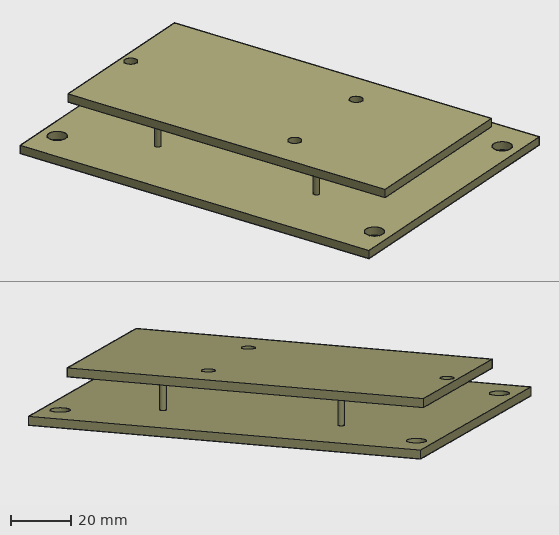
import cadquery as cq

base_length = 139.7
base_width = 101.5
plate_thickness = 3.1
mount_hole_diameter = 6.7

upper_length = 127.0
upper_width = upper_length / 2
total_height = 16.0
upper_bottom = total_height - plate_thickness
post_diameter = 2.2
post_spacing_x = upper_length / 2
post_spacing_y = 50.9

mount_spacing_x = upper_length
mount_spacing_y = 76.1

upper_hole_diameter = 4.6
end_hole_x = -59.7
pair_hole_x = 18.3
pair_hole_y = 18.3
upper_holes = [(end_hole_x, 0), (pair_hole_x, pair_hole_y), (pair_hole_x, -pair_hole_y)]


def make_base():
    return (
        cq.Workplane("XY")
        .rect(base_length, base_width)
        .extrude(plate_thickness)
        .faces(">Z")
        .workplane()
        .rarray(mount_spacing_x, mount_spacing_y, 2, 2)
        .hole(mount_hole_diameter)
    )


def make_upper_plate():
    return (
        cq.Workplane("XY", origin=(0, 0, upper_bottom))
        .rect(upper_length, upper_width)
        .extrude(plate_thickness)
        .faces(">Z")
        .workplane()
        .pushPoints(upper_holes)
        .hole(upper_hole_diameter)
    )


def make_posts():
    return (
        cq.Workplane("XY", origin=(0, 0, plate_thickness))
        .rarray(post_spacing_x, post_spacing_y, 2, 2)
        .circle(post_diameter / 2)
        .extrude(upper_bottom - plate_thickness)
    )


result = make_base().union(make_posts()).union(make_upper_plate())